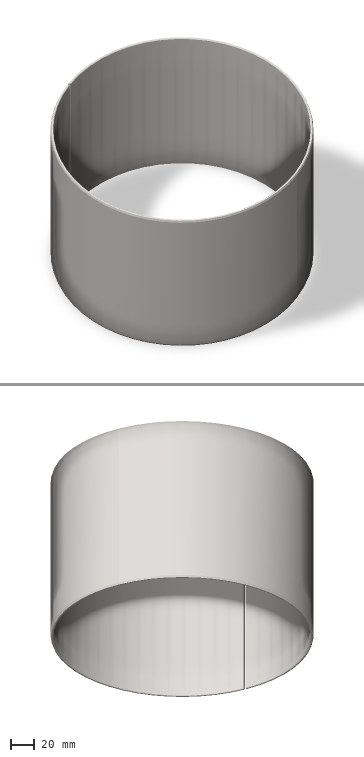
import cadquery as cq

outer_diameter = 225.0
wall = 2.5
height = 150.0
gap_width = 2.0
chamfer_height = 1.8
chamfer_depth = 0.7
inner_chamfer = 0.5

outer_radius = outer_diameter / 2
inner_radius = outer_radius - wall


def sleeve():
    """Thin tube centred on the origin, with its rims chamfered: long outside, small inside."""
    half_height = height / 2
    rim_radius = outer_radius - chamfer_depth
    shoulder = half_height - chamfer_height
    inner_shoulder = half_height - inner_chamfer
    wall_section = [
        (inner_radius, -inner_shoulder),
        (inner_radius + inner_chamfer, -half_height),
        (rim_radius, -half_height),
        (outer_radius, -shoulder),
        (outer_radius, shoulder),
        (rim_radius, half_height),
        (inner_radius + inner_chamfer, half_height),
        (inner_radius, inner_shoulder),
    ]
    return cq.Workplane("XZ").polyline(wall_section).close().revolve(360, (0, 0), (0, 1))


def split_cutter():
    """Full-height slot through the wall on the -X side, with one face on the Y = 0 plane."""
    slot_centre = (wall / 2 - outer_radius, gap_width / 2, 0)
    return cq.Workplane("XY").box(2 * wall, gap_width, height).translate(slot_centre)


result = sleeve().cut(split_cutter())